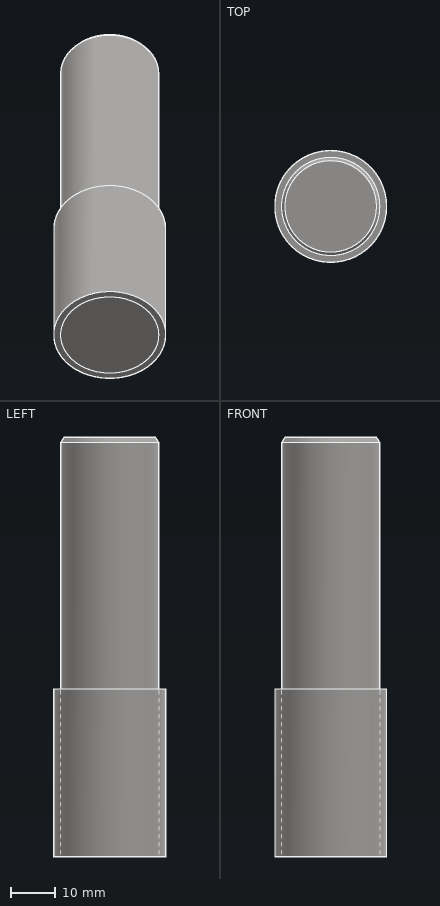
import cadquery as cq

total_height = 95.2
sleeve_diameter = 25.4
sleeve_height = 38.1
pin_diameter = 22.3
pin_chamfer_height = 1.2
pin_chamfer_width = 0.8


def make_pin():
    """Round pin with a chamfered top edge."""
    pin = cq.Workplane("XY").circle(pin_diameter / 2).extrude(total_height)
    return pin.faces(">Z").edges().chamfer(pin_chamfer_height, pin_chamfer_width)


def make_sleeve():
    """Plain sleeve, bored through to fit the pin."""
    return (
        cq.Workplane("XY")
        .circle(sleeve_diameter / 2)
        .circle(pin_diameter / 2)
        .extrude(sleeve_height)
    )


pin = make_pin()
sleeve = make_sleeve()

result = cq.Compound.makeCompound([pin.val(), sleeve.val()])